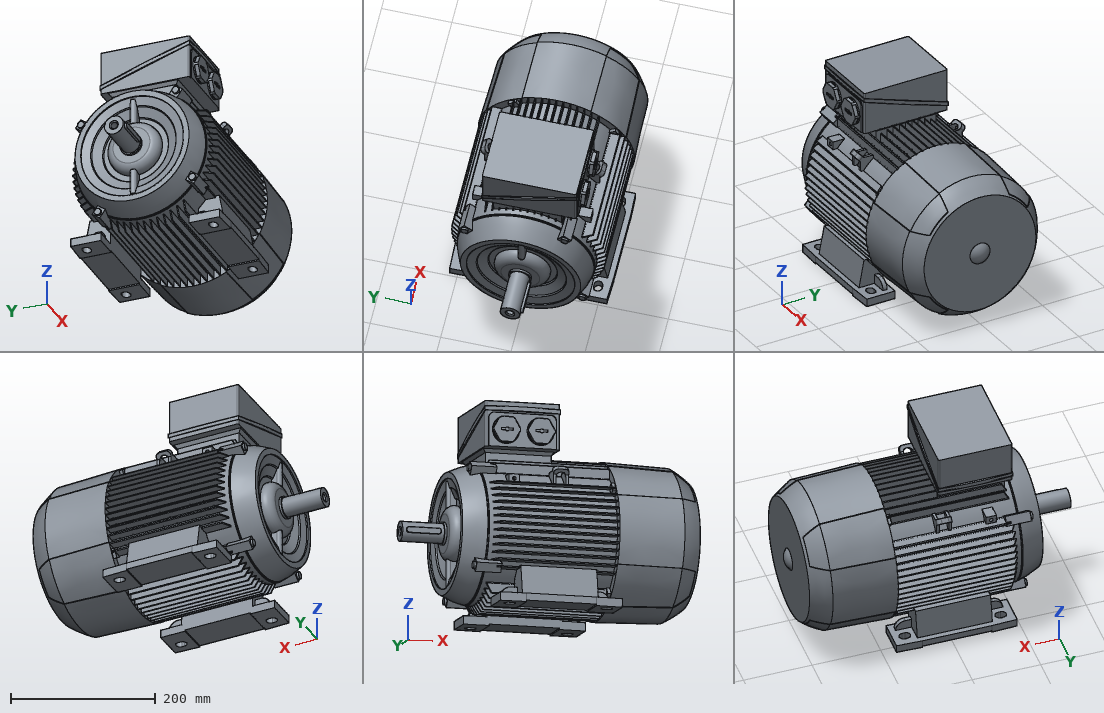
import cadquery as cq
import math


shaft_dia = 28.0
shaft_length = 60.0
shoulder_dia = 32.0
key_width = 8.0
key_length = 50.0
key_end_gap = 5.0
key_reach = 17.0
centre_hole_dia = 10.0
centre_hole_mouth_dia = 13.5
centre_hole_depth = 22.0

shield_face_x = 5.0
shield_end_x = 38.0
shield_face_radius = 85.5
shield_mid_x = 22.0
shield_mid_radius = 93.0
shield_end_radius = 97.5
rim_inner_radius = 77.0
bowl_step_radius = 63.0
bowl_step_x = 10.0
bowl_step = 2.0
bowl_step_draft = 1.2
bowl_floor_radius = 48.3
bowl_floor_x = 20.0
hub_face_x = 3.3
hub_face_radius = 27.6
hub_root_radius = 39.5
hub_bulge_x = 8.0
hub_bulge_radius = 36.5
web_width = 10.0
web_front_x = 6.5
web_inner_radius = 36.0
web_outer_radius = 74.0

core_radius = 98.0
collar_x = 40.0
groove_radius = 96.5
fin_start_x = 46.5
fin_full_x = 54.0
fin_radius = 109.5
fin_thickness = 1.6
fin_pitch = 10.0
outer_fin_index = 6

cowl_front_x = 224.6
cowl_knee_x = 319.0
cowl_end_x = 347.0
cowl_front_radius = 111.0
cowl_knee_radius = 108.0
cowl_end_radius = 89.5
cowl_end_bulge = 1.2
panel_depth = 1.0
panel_edge = 49.0
panel_end_x = 343.0
cap_radius = 16.0
cap_height = 7.0

bolt_circle_radius = 102.0
lug_width = 14.0
lug_height = 13.0
lug_outer_radius = 108.1
lug_angle = 35.0
lug_front_x = 23.7
lug_end_x = 60.0
lug_nose_drop = 5.0
bolt_head_dia = 10.0
bolt_head_height = 3.2
clip_length = 5.0

eye_x = 148.0
eye_width = 22.0
eye_thickness = 7.6
eye_flare_radius = 111.5
eye_root_radius = 101.5
eye_reach = 120.5
eye_hole_width = 14.0
eye_bridge = 5.0
eye_round = 6.0
earth_x = 80.0
earth_length = 15.0
earth_bottom = 60.0
earth_top = 73.0
earth_reach = 84.0
earth_hole_dia = 5.0
earth_hole_depth = 8.0

box_top = 177.0
box_bottom = 113.0
box_x_min = 42.5
box_x_max = 150.0
box_y_min = -70.2
box_y_max = 63.2
box_corner_radius = 2.0
neck_top = 108.0
neck_root = 80.0
neck_x_min = 48.7
neck_x_max = 144.0
neck_half_width = 48.3
neck_flare = 4.0
flange_bulge = 1.6
flange_outset = 0.6
flange_height = 6.0
flange_top_low = 125.0
flange_top_high = 170.2
panel_x_min = 47.0
panel_x_max = 144.5
panel_top = 161.0
panel_thickness = 1.8
panel_corner_radius = 8.0
plug_z = 136.7
plug_pitch = 50.0
plug_washer_dia = 38.5
plug_washer_height = 2.0
plug_across_flats = 35.0
plug_reach = 79.6
plug_slot_length = 17.0
plug_slot_width = 3.0
plug_dimple_dia = 5.5
plug_slot_depth = 1.0

shaft_height = 112.0
foot_thickness = 12.0
foot_inner_y = 66.3
foot_outer_y = 113.0
foot_corner_y = 111.6
foot_x_min = 51.5
foot_x_max = 227.7
foot_hole_spacing = 140.0
foot_hole_x = 70.0
foot_hole_y = 95.0
foot_hole_width = 12.0
foot_hole_length = 16.0
pad_length = 37.5
pad_relief = 2.0
pedestal_x_min = 85.5
pedestal_x_max = 195.0
pedestal_top = -58.0
pedestal_base_y = 105.0
pedestal_top_y = 97.0
gusset_y_min = 73.8
gusset_y_max = 80.4
gusset_height = 14.0
gusset_length = 23.5

overlap = 1.0


def span_box(x_min, x_max, y_min, y_max, z_min, z_max):
    """Box given by its limits along each axis."""
    size = (x_max - x_min, y_max - y_min, z_max - z_min)
    return cq.Workplane("XY").box(*size, centered=False).translate((x_min, y_min, z_min))


def turned(profile):
    """Solid of revolution about X of a closed outline drawn as (x, radius)."""
    return profile.close().revolve(360, (0, 0, 0), (1, 0, 0))


def rod(x_min, x_max, radius):
    return cq.Workplane("YZ", origin=(x_min, 0, 0)).circle(radius).extrude(x_max - x_min)


def both_sides(solid):
    """The solid together with its mirror image across the XZ plane."""
    return solid.union(solid.mirror("XZ"))


def four_around(solid, first_angle):
    """Four copies, a quarter turn apart about the shaft axis."""
    copies = cq.Workplane("XY")
    for quarter in range(4):
        copies = copies.union(solid.rotate((0, 0, 0), (1, 0, 0), first_angle + 90 * quarter))
    return copies


def make_shaft():
    shaft = rod(-shaft_length, shield_end_x, shaft_dia / 2)
    shaft = shaft.union(rod(0, shield_end_x, shoulder_dia / 2))
    key = (
        cq.Workplane("XZ")
        .center(-key_end_gap - key_length / 2, 0)
        .slot2D(key_length, key_width)
        .extrude(key_reach)
    )
    mouth_depth = (centre_hole_mouth_dia - centre_hole_dia) / 2
    centre_hole = turned(
        cq.Workplane("XY")
        .moveTo(-shaft_length, 0)
        .lineTo(-shaft_length, centre_hole_mouth_dia / 2)
        .lineTo(-shaft_length + mouth_depth, centre_hole_dia / 2)
        .lineTo(-shaft_length + centre_hole_depth, centre_hole_dia / 2)
        .lineTo(-shaft_length + centre_hole_depth + centre_hole_dia / 2, 0)
    )
    return shaft.union(key).cut(centre_hole)


def make_shield():
    shield = turned(
        cq.Workplane("XY")
        .moveTo(hub_face_x, 0)
        .lineTo(hub_face_x, hub_face_radius)
        .threePointArc((hub_bulge_x, hub_bulge_radius), (bowl_floor_x, hub_root_radius))
        .lineTo(bowl_floor_x, bowl_floor_radius)
        .lineTo(bowl_floor_x - bowl_step, bowl_floor_radius + bowl_step_draft)
        .lineTo(bowl_step_x + bowl_step, bowl_step_radius)
        .lineTo(bowl_step_x, bowl_step_radius + bowl_step_draft)
        .lineTo(shield_face_x + bowl_step, rim_inner_radius)
        .lineTo(shield_face_x, rim_inner_radius)
        .lineTo(shield_face_x, shield_face_radius)
        .threePointArc((shield_mid_x, shield_mid_radius), (shield_end_x, shield_end_radius))
        .lineTo(shield_end_x, groove_radius)
        .lineTo(collar_x, groove_radius)
        .lineTo(collar_x, 0)
    )
    web_axis_x = web_front_x + web_width / 2
    web_span = web_outer_radius - web_inner_radius
    for side in (1, -1):
        start = cq.Workplane("XY", origin=(web_axis_x, 0, side * web_inner_radius))
        shield = shield.union(start.circle(web_width / 2).extrude(side * web_span))
        back_length = shield_end_x - web_axis_x
        back = start.center(back_length / 2, 0).rect(back_length, web_width)
        shield = shield.union(back.extrude(side * web_span))
    return shield


def finned_envelope():
    """Cylinder with a steeply tapered drive end that limits the fins."""
    return turned(
        cq.Workplane("XY")
        .moveTo(fin_start_x, 0)
        .lineTo(fin_start_x, core_radius)
        .lineTo(fin_full_x, fin_radius)
        .lineTo(cowl_front_x, fin_radius)
        .lineTo(cowl_front_x, 0)
    )


def make_housing():
    housing = rod(collar_x, cowl_front_x, core_radius)
    places = [index * fin_pitch for index in range(-outer_fin_index, outer_fin_index + 1)]
    fin_length = cowl_front_x - fin_start_x
    depth = 2 * fin_radius + overlap
    comb = cq.Workplane("YZ", origin=(fin_start_x, 0, 0)).pushPoints([(0, place) for place in places])
    comb = comb.rect(depth, fin_thickness).extrude(fin_length)
    comb = comb.intersect(finned_envelope())
    return housing.union(comb).union(comb.rotate((0, 0, 0), (1, 0, 0), 90))


def cowl_body(inset):
    """Tapered cowl with a bulged end, its skin moved inwards by the inset."""
    bulge_x = (cowl_knee_x + cowl_end_x) / 2
    bulge_radius = (cowl_knee_radius + cowl_end_radius) / 2 + cowl_end_bulge
    return turned(
        cq.Workplane("XY")
        .moveTo(cowl_front_x, 0)
        .lineTo(cowl_front_x, cowl_front_radius - inset)
        .lineTo(cowl_knee_x, cowl_knee_radius - inset)
        .threePointArc((bulge_x, bulge_radius - inset), (cowl_end_x, cowl_end_radius - inset))
        .lineTo(cowl_end_x, 0)
    )


def make_cowl():
    cowl = cowl_body(0)
    reach = cowl_front_radius + overlap
    corner = span_box(cowl_front_x, panel_end_x, panel_edge, reach, panel_edge, reach)
    skin = cowl.cut(cowl_body(panel_depth))
    cowl = cowl.cut(four_around(corner, 0).intersect(skin))
    dome_radius = (cap_radius**2 + cap_height**2) / (2 * cap_height)
    dome_centre_x = cowl_end_x + cap_height - dome_radius
    half_angle = math.asin(cap_radius / dome_radius) / 2
    cap = turned(
        cq.Workplane("XY")
        .moveTo(cowl_end_x - overlap, 0)
        .lineTo(cowl_end_x - overlap, cap_radius)
        .lineTo(cowl_end_x, cap_radius)
        .threePointArc(
            (dome_centre_x + dome_radius * math.cos(half_angle), dome_radius * math.sin(half_angle)),
            (cowl_end_x + cap_height, 0),
        )
    )
    return cowl.union(cap)


def make_bolt_lugs():
    outer = lug_outer_radius
    inner = outer - lug_height
    lug = (
        cq.Workplane("XZ", origin=(0, lug_width / 2, 0))
        .moveTo(lug_front_x, inner - lug_nose_drop)
        .lineTo(lug_front_x, outer)
        .lineTo(lug_end_x, outer)
        .lineTo(lug_end_x, inner)
        .lineTo(collar_x, inner)
        .close()
        .extrude(lug_width)
    )
    head_plane = cq.Workplane("YZ", origin=(lug_front_x - bolt_head_height, 0, bolt_circle_radius))
    head = head_plane.circle(bolt_head_dia / 2)
    lug = lug.union(head.extrude(bolt_head_height))
    return four_around(lug, lug_angle)


def make_cowl_clips():
    outer = lug_outer_radius
    inner = outer - lug_height
    clip = span_box(
        cowl_front_x - clip_length, cowl_front_x, -lug_width / 2, lug_width / 2, inner, outer
    )
    return four_around(clip, -lug_angle)


def make_lifting_eyes():
    """Arched plates standing on the housing at 45 degrees, with flared roots."""
    half_width = eye_width / 2
    half_thickness = eye_thickness / 2
    half_root = half_thickness + eye_flare_radius - eye_root_radius
    plate = (
        cq.Workplane("YZ", origin=(eye_x - half_width, 0, 0))
        .polyline([
            (-half_root, core_radius - overlap),
            (-half_root, eye_root_radius),
            (-half_thickness, eye_flare_radius),
            (-half_thickness, eye_reach),
            (half_thickness, eye_reach),
            (half_thickness, eye_flare_radius),
            (half_root, eye_root_radius),
            (half_root, core_radius - overlap),
        ])
        .close()
        .extrude(eye_width)
    )
    plate = plate.edges("|Y and >Z").fillet(eye_round)
    hole_radius = eye_hole_width / 2
    hole_centre = eye_reach - eye_bridge - hole_radius
    opening = (
        cq.Workplane("XZ", origin=(0, half_root + overlap, 0))
        .moveTo(eye_x - hole_radius, core_radius - overlap)
        .lineTo(eye_x - hole_radius, hole_centre)
        .threePointArc((eye_x, hole_centre + hole_radius), (eye_x + hole_radius, hole_centre))
        .lineTo(eye_x + hole_radius, core_radius - overlap)
        .close()
        .extrude(2 * (half_root + overlap))
    )
    return both_sides(plate.cut(opening).rotate((0, 0, 0), (1, 0, 0), 45))


def make_earth_terminals():
    block = span_box(
        earth_x - earth_length / 2,
        earth_x + earth_length / 2,
        -earth_reach,
        -earth_bottom,
        earth_bottom,
        earth_top,
    )
    hole = (
        cq.Workplane("XZ", origin=(0, -earth_reach, 0))
        .center(earth_x, (earth_bottom + earth_top) / 2)
        .circle(earth_hole_dia / 2)
        .extrude(-earth_hole_depth)
    )
    return both_sides(block.cut(hole))


def make_flange():
    """Sloping joint flange between the box and its lid, with gently bulged sides."""
    x_min = box_x_min - flange_outset
    x_max = box_x_max + flange_outset
    y_min = box_y_min - flange_outset
    y_max = box_y_max + flange_outset
    x_mid = (x_min + x_max) / 2
    y_mid = (y_min + y_max) / 2
    plan = (
        cq.Workplane("XY", origin=(0, 0, box_bottom))
        .moveTo(x_min, y_min)
        .threePointArc((x_mid, y_min - flange_bulge), (x_max, y_min))
        .threePointArc((x_max + flange_bulge, y_mid), (x_max, y_max))
        .threePointArc((x_mid, y_max + flange_bulge), (x_min, y_max))
        .threePointArc((x_min - flange_bulge, y_mid), (x_min, y_min))
        .close()
        .extrude(box_top - box_bottom)
    )
    front_y = y_min - flange_bulge
    back_y = y_max + flange_bulge
    slope = (
        cq.Workplane("YZ")
        .polyline([
            (front_y, flange_top_high),
            (back_y, flange_top_low),
            (back_y, flange_top_low - flange_height),
            (front_y, flange_top_high - flange_height),
        ])
        .close()
        .extrude(x_max + flange_bulge + overlap)
    )
    return plan.intersect(slope)


def make_plug(plug_x):
    face_y = box_y_min - panel_thickness
    across_corners = plug_across_flats / math.cos(math.pi / 6)
    washer = (
        cq.Workplane("XZ", origin=(plug_x, face_y, plug_z))
        .circle(plug_washer_dia / 2)
        .extrude(plug_washer_height)
    )
    head_height = face_y + plug_reach
    head = cq.Workplane("XZ", origin=(plug_x, face_y, plug_z)).polygon(6, across_corners)
    head = head.extrude(head_height).intersect(
        cq.Workplane("XZ", origin=(plug_x, face_y, plug_z))
        .circle(plug_washer_dia / 2)
        .extrude(head_height)
    )
    slot = (
        cq.Workplane("XZ", origin=(plug_x, -plug_reach, plug_z))
        .rect(plug_slot_length, plug_slot_width)
        .extrude(-plug_slot_depth)
    )
    dimple = (
        cq.Workplane("XZ", origin=(plug_x, -plug_reach, plug_z))
        .circle(plug_dimple_dia / 2)
        .extrude(-plug_slot_depth)
    )
    return washer.union(head).cut(slot.union(dimple))


def make_terminal_box():
    box = span_box(box_x_min, box_x_max, box_y_min, box_y_max, box_bottom, box_top)
    box = box.edges("|Z").fillet(box_corner_radius)
    neck = span_box(
        neck_x_min, neck_x_max, -neck_half_width, neck_half_width, neck_root, box_bottom
    )
    neck_length = neck_x_max - neck_x_min
    flare = (
        cq.Workplane("XY", origin=((neck_x_min + neck_x_max) / 2, 0, neck_top))
        .rect(neck_length, 2 * neck_half_width)
        .workplane(offset=box_bottom - neck_top)
        .rect(neck_length + 2 * neck_flare, 2 * (neck_half_width + neck_flare))
        .loft()
    )
    panel = span_box(
        panel_x_min, panel_x_max, box_y_min - panel_thickness, box_y_min, box_bottom, panel_top
    )
    panel = panel.edges("|Y and >Z").fillet(panel_corner_radius)
    box = box.union(neck).union(flare).union(panel).union(make_flange())
    plug_mid_x = (box_x_min + box_x_max) / 2
    for side in (-1, 1):
        box = box.union(make_plug(plug_mid_x + side * plug_pitch / 2))
    return box


def make_gusset(root_x, direction):
    """Round-ended stiffener on a foot, running out from the pedestal end wall."""
    base = -shaft_height + foot_thickness
    tip_x = root_x + direction * gusset_length
    round_x = tip_x - direction * gusset_height
    bulge = gusset_height * math.sqrt(0.5)
    return (
        cq.Workplane("XZ", origin=(0, gusset_y_max, 0))
        .moveTo(root_x, base)
        .lineTo(tip_x, base)
        .threePointArc((round_x + direction * bulge, base + bulge), (round_x, base + gusset_height))
        .lineTo(root_x, base + gusset_height)
        .close()
        .extrude(gusset_y_max - gusset_y_min)
    )


def make_feet():
    base = -shaft_height + foot_thickness
    far_hole_x = foot_hole_x + foot_hole_spacing
    near_pad_x = foot_x_min + pad_length
    far_pad_x = foot_x_max - pad_length
    foot = (
        cq.Workplane("XY", origin=(0, 0, -shaft_height))
        .polyline([
            (foot_x_min, foot_inner_y),
            (foot_x_max, foot_inner_y),
            (foot_x_max, foot_corner_y),
            (far_pad_x, foot_outer_y),
            (near_pad_x, foot_outer_y),
            (foot_x_min, foot_corner_y),
        ])
        .close()
        .extrude(foot_thickness)
    )
    relief = span_box(
        near_pad_x,
        far_pad_x,
        foot_inner_y,
        foot_outer_y,
        -shaft_height,
        -shaft_height + pad_relief,
    )
    holes = (
        cq.Workplane("XY", origin=(0, 0, -shaft_height))
        .pushPoints([(foot_hole_x, foot_hole_y), (far_hole_x, foot_hole_y)])
        .slot2D(foot_hole_length, foot_hole_width)
        .extrude(foot_thickness)
    )
    pedestal = (
        cq.Workplane("YZ", origin=(pedestal_x_min, 0, 0))
        .polyline([
            (foot_inner_y, base),
            (pedestal_base_y, base),
            (pedestal_top_y, pedestal_top),
            (foot_inner_y, pedestal_top),
        ])
        .close()
        .extrude(pedestal_x_max - pedestal_x_min)
    )
    foot = foot.cut(relief).cut(holes).union(pedestal)
    foot = foot.union(make_gusset(pedestal_x_min, -1))
    foot = foot.union(make_gusset(pedestal_x_max, 1))
    return both_sides(foot)


result = make_housing()
for section in (
    make_shield(),
    make_shaft(),
    make_cowl(),
    make_bolt_lugs(),
    make_cowl_clips(),
    make_lifting_eyes(),
    make_earth_terminals(),
    make_terminal_box(),
    make_feet(),
):
    result = result.union(section)